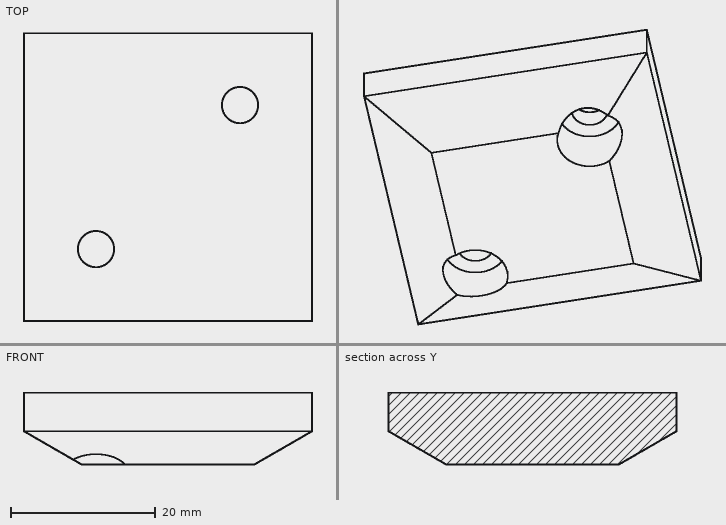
import cadquery as cq
import math

side = 40.0
height = 10.0
bevel_inset = 8.0
bevel_angle = 30.0
bevel_height = bevel_inset * math.tan(math.radians(bevel_angle))
bottom_side = side - 2 * bevel_inset

hole_diameter = 5.0
counterbore_diameter = 9.0
counterbore_depth = 7.0
hole_offset = side / 4
hole_centers = [(-hole_offset, -hole_offset), (hole_offset, hole_offset)]


def bevelled_plate():
    """Tapered base below a straight-sided slab."""
    base = (
        cq.Workplane("XY")
        .rect(bottom_side, bottom_side)
        .workplane(offset=bevel_height)
        .rect(side, side)
        .loft(ruled=True)
    )
    slab = (
        cq.Workplane("XY")
        .workplane(offset=bevel_height)
        .rect(side, side)
        .extrude(height - bevel_height)
    )
    return base.union(slab)


def cylinders(diameter, depth):
    """Cylinders rising from the bottom face at the hole centers."""
    return cq.Workplane("XY").pushPoints(hole_centers).circle(diameter / 2).extrude(depth)


result = (
    bevelled_plate()
    .cut(cylinders(hole_diameter, height))
    .cut(cylinders(counterbore_diameter, counterbore_depth))
)